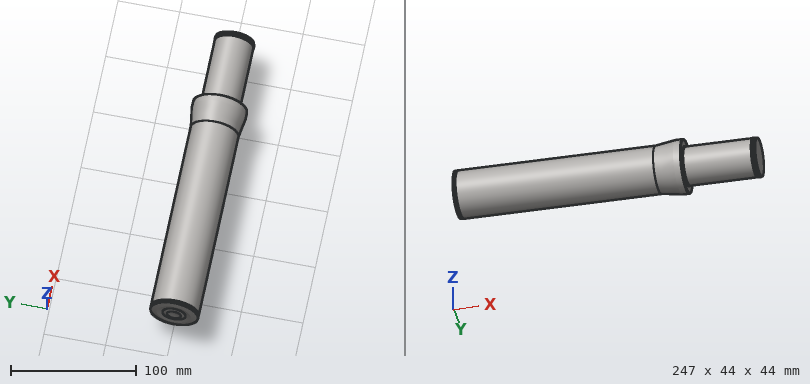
import cadquery as cq

total_length = 247.0
face_edge_x = 0.5
chamfer_end_x = 1.0
end_rim_x = 1.7
shank_start_x = 3.5
seam_x = 164.5
taper_start_x = 165.2
collar_start_x = 181.5
shoulder_x = 187.5
collar_chamfer = 0.5
neck_x = 188.2
journal_start_x = 189.7
journal_end_x = 243.3
tip_rim_x = 244.0
tip_chamfer_x = 245.5

shank_radius = 39.0 / 2
relief_depth = 0.2
face_radius = 17.5
chamfer_radius = 19.3
collar_radius = 44.0 / 2
rim_radius = 32.0 / 2
journal_radius = 31.5 / 2
neck_radius = journal_radius - relief_depth
tip_radius = 15.5

outer_ridge_radius = 13.8
valley_radius = 9.5
inner_ridge_radius = 5.7
ridge_depth = 0.7


def revolve_about_x(outline):
    """Turn a closed outline of (x, radius) points about the X axis."""
    return cq.Workplane("XY").polyline(outline).close().revolve(360, (0, 0, 0), (1, 0, 0))


def make_shank():
    """Cylinder with a ridged end face, a chamfered rim and a fine relief behind the rim."""
    return revolve_about_x([
        (ridge_depth, 0),
        (0, inner_ridge_radius),
        (ridge_depth, valley_radius),
        (0, outer_ridge_radius),
        (face_edge_x, face_radius),
        (chamfer_end_x, chamfer_radius),
        (end_rim_x, shank_radius),
        (shank_start_x, shank_radius - relief_depth),
        (shank_start_x, shank_radius),
        (seam_x, shank_radius),
        (seam_x, 0),
    ])


def make_head():
    """Flared collar followed by a journal with slightly wider lands at its ends."""
    return revolve_about_x([
        (seam_x, 0),
        (seam_x, shank_radius),
        (taper_start_x, shank_radius),
        (collar_start_x, collar_radius),
        (shoulder_x - collar_chamfer, collar_radius),
        (shoulder_x, collar_radius - collar_chamfer),
        (shoulder_x, rim_radius),
        (neck_x, rim_radius),
        (neck_x, neck_radius),
        (journal_start_x, journal_radius),
        (journal_end_x, journal_radius),
        (tip_rim_x, rim_radius),
        (tip_chamfer_x, rim_radius),
        (total_length, tip_radius),
        (total_length, 0),
    ])


shank = make_shank()
head = make_head()
result = cq.Compound.makeCompound([shank.val(), head.val()])